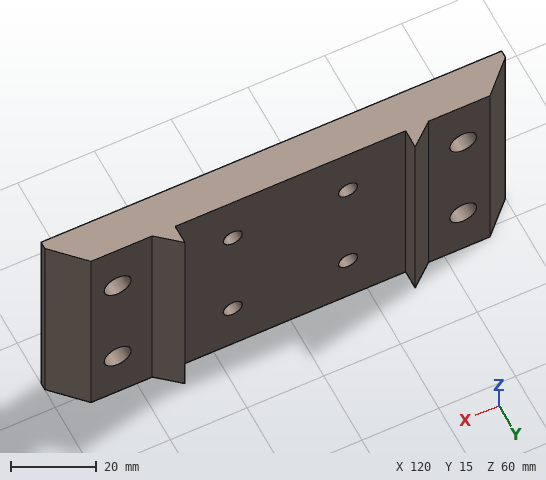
import cadquery as cq

length = 120.0
height = 60.0
total_depth = 15.0

plate_thickness = total_depth * 2 / 3
bevel = 8.0
edge_thickness = plate_thickness - bevel

tooth_spacing = length / 2
tooth_width = 6.0

row_spacing = height / 2
outer_hole_diameter = 7.0
outer_hole_spacing = 0.75 * length
inner_hole_diameter = 4.9
inner_hole_spacing = length / 4


def extruded_section(points):
    """Extrude an XY outline over the full height, centred on Z = 0."""
    return cq.Workplane("XY").polyline(points).close().extrude(height / 2, both=True)


def beveled_plate():
    half = length / 2
    return extruded_section([
        (-half, 0),
        (half, 0),
        (half, edge_thickness),
        (half - bevel, plate_thickness),
        (bevel - half, plate_thickness),
        (-half, edge_thickness),
    ])


def tooth(side):
    """Tooth with an upright inner flank; side is -1 (left) or +1 (right)."""
    inner = tooth_spacing / 2
    return extruded_section([
        (side * inner, 0),
        (side * inner, total_depth),
        (side * (inner + tooth_width), plate_thickness),
        (side * (inner + tooth_width), 0),
    ])


def hole_cutters(diameter, spacing):
    """Four cylinders along Y, arranged in two rows."""
    return (
        cq.Workplane("XZ")
        .rect(spacing, row_spacing, forConstruction=True)
        .vertices()
        .circle(diameter / 2)
        .extrude(-total_depth)
    )


result = beveled_plate()
for side in (-1, 1):
    result = result.union(tooth(side))
result = result.cut(hole_cutters(outer_hole_diameter, outer_hole_spacing))
result = result.cut(hole_cutters(inner_hole_diameter, inner_hole_spacing))